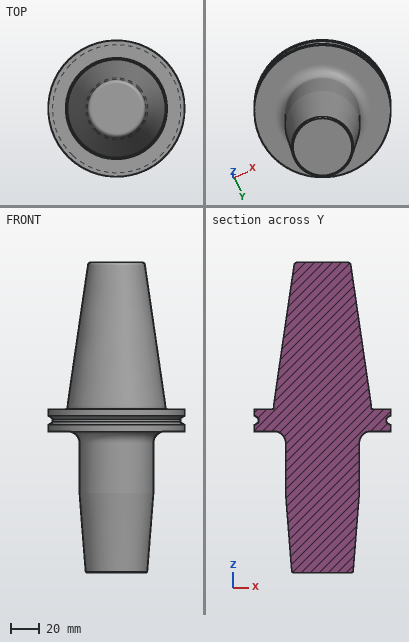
import cadquery as cq
import math


gauge_dia = 69.85
taper_length = 101.75
taper_ratio = 7 / 24
tip_fillet = 2.5

collar_height = 0.7
flare_height = 0.5
neck_dia = 70.1
foot_dia = 72.5
foot_top_dia = 71.0
foot_height = 0.5

flange_dia = 97.5
flange_top = -3.2
flange_bottom = -19.1
groove_center = -11.1
groove_floor_dia = 91.5
groove_floor_width = 3.0
groove_wall_angle = 30
groove_root_fillet = 1.0

body_dia = 53.0
body_fillet = 8.0
nose_end = -120.0
nose_dia = 44.0
nose_half_angle = 4.5
nose_chamfer = 1.0


def revolve_about_z(outline):
    """Turn a closed half outline, drawn as (radius, height), into a solid."""
    return outline.close().revolve(360, (0, 0), (0, 1))


def half_outline(start):
    return cq.Workplane("XZ").moveTo(*start)


def make_shank():
    gauge_radius = gauge_dia / 2
    tip_radius = gauge_radius - taper_length * taper_ratio / 2
    cone = revolve_about_z(
        half_outline((0, 0))
        .lineTo(gauge_radius, 0)
        .lineTo(tip_radius, taper_length)
        .lineTo(0, taper_length)
    )
    return cone.faces(">Z").edges().fillet(tip_fillet)


def make_neck():
    """Straight collar, slight flare to the neck, then a low conical foot on the flange."""
    collar_radius = gauge_dia / 2
    neck_radius = neck_dia / 2
    return revolve_about_z(
        half_outline((0, 0))
        .lineTo(collar_radius, 0)
        .lineTo(collar_radius, -collar_height)
        .lineTo(neck_radius, -collar_height - flare_height)
        .lineTo(neck_radius, flange_top + foot_height)
        .lineTo(foot_top_dia / 2, flange_top + foot_height)
        .lineTo(foot_dia / 2, flange_top)
        .lineTo(0, flange_top)
    )


def make_flange():
    rim_radius = flange_dia / 2
    floor_radius = groove_floor_dia / 2
    floor_half = groove_floor_width / 2
    wall_rise = (rim_radius - floor_radius) * math.tan(math.radians(groove_wall_angle))
    mouth_half = floor_half + wall_rise

    disc = revolve_about_z(
        half_outline((0, flange_top))
        .lineTo(rim_radius, flange_top)
        .lineTo(rim_radius, flange_bottom)
        .lineTo(0, flange_bottom)
    )
    groove = revolve_about_z(
        half_outline((floor_radius, groove_center - floor_half))
        .lineTo(rim_radius, groove_center - mouth_half)
        .lineTo(rim_radius, groove_center + mouth_half)
        .lineTo(floor_radius, groove_center + floor_half)
    )
    root_edges = cq.selectors.RadiusNthSelector(0)
    return disc.cut(groove.edges("%CIRCLE").edges(root_edges).fillet(groove_root_fillet))


def make_body():
    """Cylindrical body filleted into the flange, then a slender cone to the nose."""
    body_radius = body_dia / 2
    nose_radius = nose_dia / 2
    arc_start_radius = body_radius + body_fillet
    arc_end_height = flange_bottom - body_fillet
    arc_inset = body_fillet * math.sqrt(0.5)
    cone_length = (body_radius - nose_radius) / math.tan(math.radians(nose_half_angle))
    body = revolve_about_z(
        half_outline((0, flange_bottom))
        .lineTo(arc_start_radius, flange_bottom)
        .threePointArc(
            (arc_start_radius - arc_inset, arc_end_height + arc_inset),
            (body_radius, arc_end_height),
        )
        .lineTo(body_radius, nose_end + cone_length)
        .lineTo(nose_radius, nose_end)
        .lineTo(0, nose_end)
    )
    return body.faces("<Z").edges().chamfer(nose_chamfer)


result = make_shank().union(make_neck()).union(make_flange()).union(make_body())